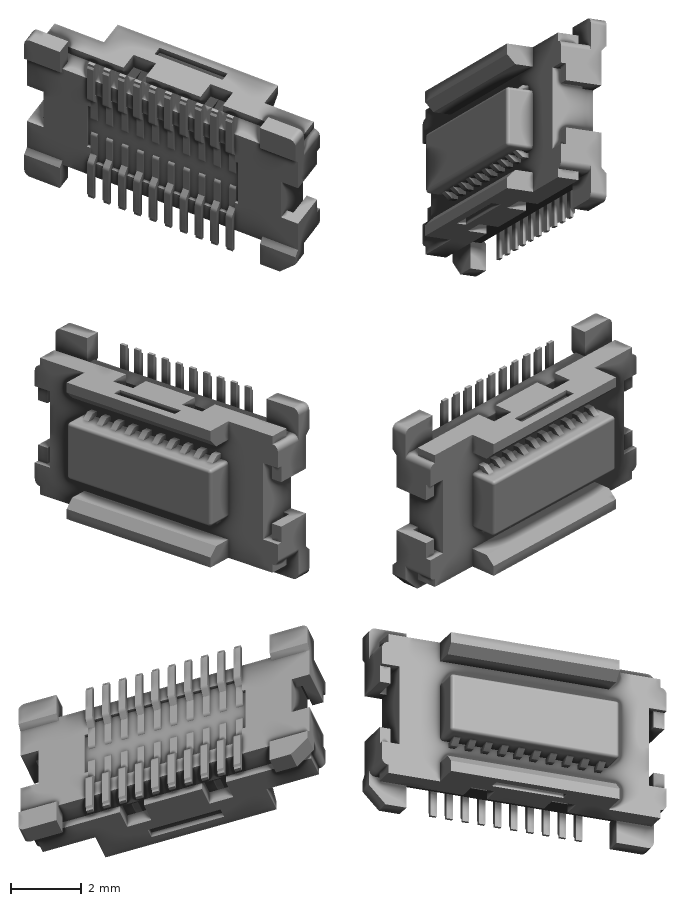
import cadquery as cq
import math


LENGTH = 8.8
BASE_HEIGHT = 3.8
BASE_DEPTH = 1.29
CORNER_RADIUS = 0.19

NOTCH_DEPTH = 0.55
NOTCH_HEIGHT = 1.41
WIDE_NOTCH_HEIGHT = 2.41
WIDE_NOTCH_DEPTH = 0.16
SIDE_SLOT_LENGTH = 0.21
SIDE_SLOT_START_Y = 0.33

OVERALL_DEPTH = 2.11
WALL_OUTER_Z = 2.16
WALL_INNER_Z = 1.575
WALL_BOTTOM_Y = 0.64
LOW_WALL_LENGTH = LENGTH - 2 * CORNER_RADIUS
HIGH_WALL_LENGTH = 5.21
WALL_BEVEL = 0.26

GROOVE_LENGTH = 2.21
GROOVE_Y = 1.56
GROOVE_WIDTH = 0.29
GROOVE_DEPTH = 0.19
POCKET_WIDTH = 0.73
POCKET_TOP_Y = 1.24
POCKET_FLOOR_Z = 1.66
WINDOW_BOTTOM_Y = 0.87
WINDOW_DEPTH = 0.17

FOOT_LENGTH = 1.15
FOOT_OUTER_Z = 2.7
FOOT_BACK_Y = 0.34
FOOT_STANDOFF = 0.16
KEY_CHAMFER = 0.51

TONGUE_LENGTH = HIGH_WALL_LENGTH
TONGUE_HEIGHT = 1.78
TONGUE_ROUND = 0.1

CONTACTS_PER_ROW = 10
ROW_SPAN = 4.5
CONTACT_WIDTH = 0.2
CONTACT_THICKNESS = 0.15
CONTACT_FRONT_Y = -0.185
CONTACT_TIP_Z = 2.64
CONTACT_ROOT_Z = 0.25
ROOT_FACE_Y = 0.03
ROOT_ROUND = 0.12
BEND_RADIUS = 0.185
BEND_END_Z = 1.34
TIP_STEP = 0.09
TIP_BEVEL = 0.05

BOW_PEAK_Z = 1.07
BOW_PEAK_Y = 1.49
BOW_END_Y = 1.71
BOW_GAP_Z = 0.93
BOW_GAP_Y = 1.46

ROOT_RECESS_DEPTH = 0.1
ROOT_RECESS_HEIGHT = 2.71
MIDDLE_RECESS_LENGTH = 4.9
MIDDLE_RECESS_HEIGHT = 1.63

CONTACT_ROW_LENGTH = ROW_SPAN + CONTACT_WIDTH
PITCH = ROW_SPAN / (CONTACTS_PER_ROW - 1)
CONTACT_XS = [i * PITCH - ROW_SPAN / 2 for i in range(CONTACTS_PER_ROW)]
POCKET_XS = (CONTACT_XS[2], CONTACT_XS[-3])


def block(x_range, y_range, z_range):
    """Box between opposite limits on each axis."""
    return cq.Workplane("XY").box(
        x_range[1] - x_range[0], y_range[1] - y_range[0], z_range[1] - z_range[0], centered=False
    ).translate((x_range[0], y_range[0], z_range[0]))


def centred_block(length, y_range, height):
    """Box centred on X and Z."""
    return block((-length / 2, length / 2), y_range, (-height / 2, height / 2))


def extrude_profile(profile, x_centre, width):
    """Extrude a closed YZ sketch along X, centred on x_centre."""
    return profile.extrude(width / 2, both=True).translate((x_centre, 0, 0))


def mirrored(shape):
    """Shape plus its copy on the opposite long side."""
    return shape.union(shape.mirror("XY"))


def base():
    """Housing block with rounded corners."""
    return centred_block(LENGTH, (0, BASE_DEPTH), BASE_HEIGHT).edges("|Y").fillet(CORNER_RADIUS)


def end_notches():
    """Stepped notch at each end, with side slots cut into its walls at the inner end."""
    inner_x = LENGTH / 2 - NOTCH_DEPTH
    notch_x = (inner_x, LENGTH / 2)
    slot_x = (inner_x, inner_x + SIDE_SLOT_LENGTH)
    z_range = (-NOTCH_HEIGHT / 2, NOTCH_HEIGHT / 2)
    wide_z_range = (-WIDE_NOTCH_HEIGHT / 2, WIDE_NOTCH_HEIGHT / 2)
    notch = (
        block(notch_x, (0, BASE_DEPTH), z_range)
        .union(block(notch_x, (BASE_DEPTH - WIDE_NOTCH_DEPTH, BASE_DEPTH), wide_z_range))
        .union(block(slot_x, (SIDE_SLOT_START_Y, BASE_DEPTH), wide_z_range))
    )
    return notch.union(notch.mirror("YZ"))


def wall():
    """Upper shroud wall: a low stretch beside the base and a taller, bevelled middle."""
    low = block(
        (-LOW_WALL_LENGTH / 2, LOW_WALL_LENGTH / 2), (WALL_BOTTOM_Y, BASE_DEPTH), (WALL_INNER_Z, WALL_OUTER_Z)
    )
    high = block(
        (-HIGH_WALL_LENGTH / 2, HIGH_WALL_LENGTH / 2), (BASE_DEPTH, OVERALL_DEPTH), (WALL_INNER_Z, WALL_OUTER_Z)
    ).edges(">Y and <Z").chamfer(WALL_BEVEL)
    return low.union(high)


def wall_cuts():
    """Groove, pockets and contact windows of the upper wall."""
    cuts = block(
        (-GROOVE_LENGTH / 2, GROOVE_LENGTH / 2),
        (GROOVE_Y, GROOVE_Y + GROOVE_WIDTH),
        (WALL_OUTER_Z - GROOVE_DEPTH, WALL_OUTER_Z),
    )
    for x in POCKET_XS:
        cuts = cuts.union(
            block(
                (x - POCKET_WIDTH / 2, x + POCKET_WIDTH / 2),
                (WALL_BOTTOM_Y, POCKET_TOP_Y),
                (POCKET_FLOOR_Z, WALL_OUTER_Z),
            )
        )
        window = (
            cq.Workplane("YZ")
            .moveTo(WINDOW_BOTTOM_Y, POCKET_FLOOR_Z)
            .lineTo(POCKET_TOP_Y, POCKET_FLOOR_Z)
            .lineTo(WINDOW_BOTTOM_Y, POCKET_FLOOR_Z - WINDOW_DEPTH)
            .close()
        )
        cuts = cuts.union(extrude_profile(window, x, CONTACT_WIDTH))
    return cuts


def foot(side):
    """Upper corner foot at the end given by side (-1 or 1), bevelled toward the middle."""
    base_z = BASE_HEIGHT / 2
    bevel_end_z = base_z - FOOT_STANDOFF
    sunk_z = bevel_end_z - CORNER_RADIUS
    profile = (
        cq.Workplane("YZ")
        .moveTo(-FOOT_STANDOFF, FOOT_OUTER_Z)
        .lineTo(FOOT_BACK_Y, FOOT_OUTER_Z)
        .lineTo(FOOT_BACK_Y, sunk_z)
        .lineTo(0, sunk_z)
        .lineTo(0, bevel_end_z)
        .lineTo(-FOOT_STANDOFF, base_z)
        .close()
    )
    return extrude_profile(profile, side * (LENGTH - FOOT_LENGTH) / 2, FOOT_LENGTH)


def feet():
    """Four feet: three with a rounded outer corner, one with a large keying chamfer."""
    left = foot(-1).edges("|Y and <X and >Z").fillet(CORNER_RADIUS)
    right = foot(1).edges("|Y and >X and >Z").fillet(CORNER_RADIUS)
    key = foot(1).edges("|Y and >X and >Z").chamfer(KEY_CHAMFER).mirror("XY")
    return mirrored(left).union(right).union(key)


def tongue():
    """Raised tongue with rounded corners and rim."""
    shape = centred_block(TONGUE_LENGTH, (BASE_DEPTH, OVERALL_DEPTH), TONGUE_HEIGHT)
    return shape.edges("|Y or >Y").fillet(TONGUE_ROUND)


def root_recess():
    """Shallow recess in the mounting face, longer in the middle than along the contact rows."""
    depth = (0, ROOT_RECESS_DEPTH)
    return centred_block(CONTACT_ROW_LENGTH, depth, ROOT_RECESS_HEIGHT).union(
        centred_block(MIDDLE_RECESS_LENGTH, depth, MIDDLE_RECESS_HEIGHT)
    )


def contact_lead():
    """YZ outline of a contact from its root in the recess to the solder tip."""
    back_y = CONTACT_FRONT_Y + CONTACT_THICKNESS
    diagonal = math.sqrt(0.5)
    mid_angle = math.radians(45) / 2
    bend_start_y = CONTACT_FRONT_Y + BEND_RADIUS * (1 - diagonal)
    bend_start_z = BEND_END_Z - BEND_RADIUS * diagonal
    slope_start_z = bend_start_z - (ROOT_FACE_Y - bend_start_y)
    return (
        cq.Workplane("YZ")
        .moveTo(ROOT_RECESS_DEPTH + ROOT_ROUND, CONTACT_ROOT_Z)
        .lineTo(ROOT_FACE_Y + ROOT_ROUND, CONTACT_ROOT_Z)
        .threePointArc(
            (ROOT_FACE_Y + ROOT_ROUND * (1 - diagonal), CONTACT_ROOT_Z + ROOT_ROUND * (1 - diagonal)),
            (ROOT_FACE_Y, CONTACT_ROOT_Z + ROOT_ROUND),
        )
        .lineTo(ROOT_FACE_Y, slope_start_z)
        .lineTo(bend_start_y, bend_start_z)
        .threePointArc(
            (
                CONTACT_FRONT_Y + BEND_RADIUS * (1 - math.cos(mid_angle)),
                BEND_END_Z - BEND_RADIUS * math.sin(mid_angle),
            ),
            (CONTACT_FRONT_Y, BEND_END_Z),
        )
        .lineTo(CONTACT_FRONT_Y, CONTACT_TIP_Z - TIP_STEP - TIP_BEVEL)
        .lineTo(CONTACT_FRONT_Y + TIP_BEVEL, CONTACT_TIP_Z - TIP_STEP)
        .lineTo(CONTACT_FRONT_Y + TIP_BEVEL, CONTACT_TIP_Z)
        .lineTo(back_y, CONTACT_TIP_Z)
        .lineTo(back_y, ROOT_RECESS_HEIGHT / 2)
        .lineTo(ROOT_RECESS_DEPTH + ROOT_ROUND, ROOT_RECESS_HEIGHT / 2)
        .close()
    )


def contact_bow():
    """YZ outline of the spring bow standing off the side of the tongue."""
    side_z = TONGUE_HEIGHT / 2
    sunk_z = side_z - TONGUE_ROUND
    return (
        cq.Workplane("YZ")
        .moveTo(BASE_DEPTH - TONGUE_ROUND, BOW_PEAK_Z)
        .lineTo(BOW_PEAK_Y, BOW_PEAK_Z)
        .lineTo(BOW_END_Y, side_z)
        .lineTo(BOW_END_Y, sunk_z)
        .lineTo(BOW_GAP_Y, sunk_z)
        .lineTo(BOW_GAP_Y, side_z)
        .lineTo(BOW_GAP_Y - (BOW_GAP_Z - side_z), BOW_GAP_Z)
        .lineTo(BASE_DEPTH - TONGUE_ROUND, BOW_GAP_Z)
        .close()
    )


def contacts():
    """Both rows of contacts."""
    single = extrude_profile(contact_lead(), 0, CONTACT_WIDTH).union(
        extrude_profile(contact_bow(), 0, CONTACT_WIDTH)
    )
    pair = mirrored(single)
    group = pair.translate((CONTACT_XS[0], 0, 0))
    for x in CONTACT_XS[1:]:
        group = group.union(pair.translate((x, 0, 0)))
    return group


housing = base().union(mirrored(wall())).union(feet()).union(tongue())
housing = housing.cut(mirrored(wall_cuts())).cut(end_notches()).cut(root_recess())
result = housing.union(contacts())